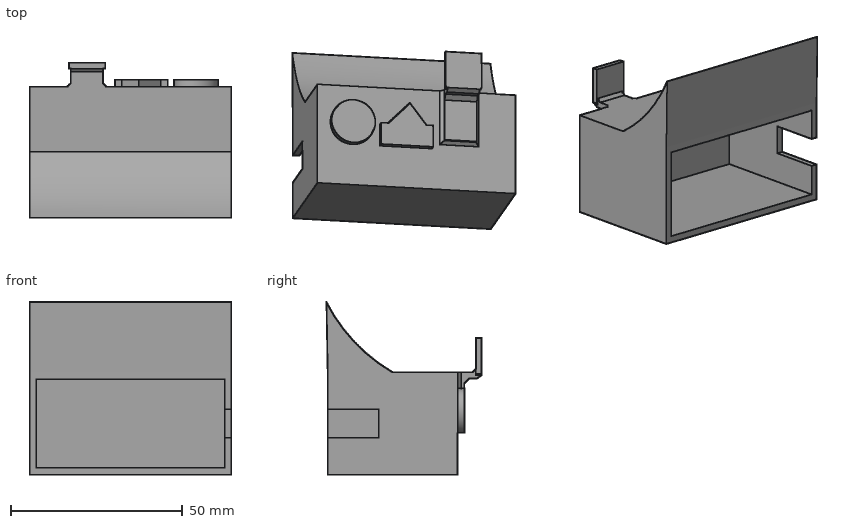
import cadquery as cq

width = 59.0
depth = 38.0
height = 30.0
wall = 2.0

visor_height = 50.5
visor_lean = 0.35
visor_radius = 50.0

slot_height = 8.3
slot_length = 15.0

rib_left = 12.0
rib_width = 9.55
rib_thickness = 2.0
rib_bottom = 14.65
rib_flare = 1.0
clip_reach = 7.0
ledge_thickness = 1.9
ledge_chamfer = 1.4
plate_left = 11.5
plate_width = 10.7
plate_thickness = 1.7
plate_bottom = 29.1
plate_chamfer = 0.4
plate_top = 40.0
gusset = 1.0

boss_thickness = 2.05
boss_bottom = 12.3
disc_center_x = 48.7
disc_diameter = 13.0
peaked_left = 24.95
peaked_width = 15.45
peaked_shoulder = 2.0
peaked_apex_offset = 6.95
peaked_shoulder_height = 6.5
peaked_height = disc_diameter


def box(x, y, z, dx, dy, dz):
    """Box with its lowest corner at (x, y, z)."""
    return cq.Workplane("XY").box(dx, dy, dz, centered=False).translate((x, y, z))


def make_housing():
    """Side profile with the concave visor, hollowed from the front."""
    body = (
        cq.Workplane("YZ")
        .moveTo(0, 0)
        .lineTo(depth, 0)
        .lineTo(depth, height)
        .lineTo(depth / 2, height)
        .radiusArc((-visor_lean, visor_height), visor_radius)
        .lineTo(0, height)
        .close()
        .extrude(width)
    )
    cavity = box(wall, 0, wall, width - 2 * wall, depth - wall, height - 2 * wall)
    slot_bottom = (height - slot_height) / 2
    slot = box(width - wall, 0, slot_bottom, wall, slot_length, slot_height)
    return body.cut(cavity).cut(slot)


def make_clip():
    """Rib and ledge profile, flared rib root and upright plate."""
    rib_back = depth + rib_thickness
    clip_back = depth + clip_reach
    plate_front = clip_back - plate_thickness
    ledge_bottom = height - ledge_thickness
    arm = (
        cq.Workplane("YZ", origin=(rib_left, 0, 0))
        .polyline([
            (depth, rib_bottom),
            (rib_back, rib_bottom),
            (rib_back, ledge_bottom - ledge_chamfer),
            (rib_back + ledge_chamfer, ledge_bottom),
            (clip_back - ledge_chamfer, ledge_bottom),
            (clip_back, plate_bottom),
            (clip_back, height + gusset),
            (plate_front, height + gusset),
            (plate_front - gusset, height),
            (depth, height),
        ])
        .close()
        .extrude(rib_width)
    )
    rib_center = rib_left + rib_width / 2
    root_height = height - rib_bottom + rib_flare
    flare = (
        cq.Workplane("XZ", origin=(rib_center, depth, height))
        .center(0, -root_height / 2)
        .rect(rib_width + 2 * rib_flare, root_height)
        .workplane(offset=-rib_flare)
        .center(0, rib_flare / 2)
        .rect(rib_width, root_height - rib_flare)
        .loft(ruled=True)
    )
    plate = box(plate_left, plate_front, plate_bottom,
                plate_width, plate_thickness, plate_top - plate_bottom)
    plate = plate.faces("<Z").edges("|Y").chamfer(plate_chamfer)
    return arm.union(flare).union(plate)


def make_bosses():
    """A round boss and a peaked boss side by side on the back wall."""
    back = cq.Workplane("XZ", origin=(0, depth, 0))
    disc = (
        back.center(disc_center_x, boss_bottom + disc_diameter / 2)
        .circle(disc_diameter / 2)
        .extrude(-boss_thickness)
    )
    peaked_right = peaked_left + peaked_width
    shoulder_top = boss_bottom + peaked_shoulder_height
    peaked = (
        back.polyline([
            (peaked_left, boss_bottom),
            (peaked_right, boss_bottom),
            (peaked_right, shoulder_top),
            (peaked_right - peaked_shoulder, shoulder_top),
            (peaked_left + peaked_apex_offset, boss_bottom + peaked_height),
            (peaked_left + peaked_shoulder, shoulder_top),
            (peaked_left, shoulder_top),
        ])
        .close()
        .extrude(-boss_thickness)
    )
    return disc.union(peaked)


result = make_housing().union(make_clip()).union(make_bosses())